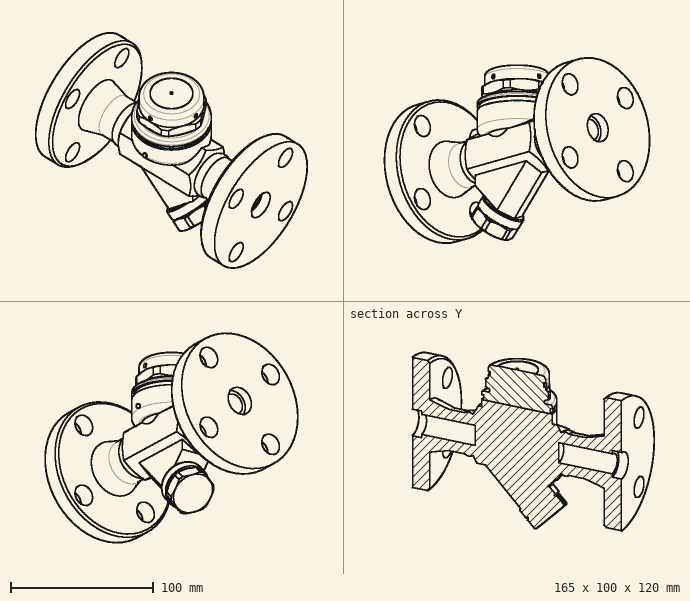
import cadquery as cq
import math

overall_length = 165.0

flange_diameter = 100.0
flange_thickness = 14.0
flange_chamfer = 1.8
bolt_hole_diameter = 15.0
bolt_circle_diameter = 75.0
bolt_count = 4
first_bolt_angle = 45.0
neck_root_diameter = 40.3
neck_length = 15.2
pipe_diameter = 32.0
bead_diameter = 34.0
bead_outer_x = 41.1
socket_diameter = 20.0
socket_depth = 7.5
bore_diameter = 15.0
bore_end_x = 33.0

block_across_flats = 36.6
block_half_length = 34.8
block_end_radius = 16.0
block_end_angle = 30.0

chamber_diameter = 56.0
chamber_top_z = 28.7
chamber_bottom_z = 10.7
chamber_bottom_fillet = 5.0
chamber_cone_radius = 20.8
chamber_tip_radius = 14.8
chamber_tip_z = 1.6

rib_width = 9.9
rib_top_z = 23.3
rib_fillet = 3.0

stud_diameter = 3.0
stud_z = 17.3
stud_length = 0.7
stud_embedment = 13.2

leg_angle = 45.0
leg_axis_offset = 17.7
leg_half_width = 12.0
leg_ridge = 15.0
leg_ridge_slope = 30.0
leg_upper_reach = 29.7
leg_start = -6.6
leg_end = 36.6
leg_wall_x = 30.0

plug_collar_diameter = 33.0
plug_collar_end = 44.2
plug_collar_chamfer = 0.8
plug_neck_diameter = 30.0
plug_across_flats = 30.0
plug_corner_diameter = 33.0
plug_hex_start = 44.9
plug_end = 54.5
hex_chamfer_angle = 30.0

spigot_diameter = 53.0
rim_diameter = 56.0
rim_bottom_z = 32.2
rim_top_z = 35.5
rim_fillet = 1.6
cover_neck_diameter = 43.2
cover_neck_end_diameter = 45.2
cover_hex_across_flats = 45.5
cover_hex_corner_diameter = 49.8
cover_hex_bottom_z = 37.8
cover_hex_top_z = 46.0
cap_diameter = 45.5
cap_top_z = 56.6
cap_fillet = 3.1
plate_diameter = 30.0
plate_thickness = 0.3
pip_diameter = 2.0
cap_hole_diameter = 3.0
cap_hole_depth = 1.6
cap_hole_z = 49.5
cap_hole_count = 4


def hexagon_corner_diameter(across_flats):
    return across_flats / math.cos(math.radians(30))


def arc_middle(center, radius, degrees):
    """Point on an arc, used as its middle point."""
    angle = math.radians(degrees)
    return center[0] + radius * math.cos(angle), center[1] + radius * math.sin(angle)


def place_on(plane, shape):
    """Move a shape modelled around the Z axis so that Z becomes the plane's normal."""
    return shape.val().located(cq.Location(plane))


def turned(profile):
    """Revolve a closed (radius, height) wire sketched on XZ around the Z axis."""
    return profile.close().revolve(360, (0, 0, 0), (0, 1, 0))


def chamfered_hexagon(across_flats, corner_diameter, bottom, top):
    """Nut shape around Z, flats facing +-Y, its corners turned down and chamfered."""
    flat_radius = across_flats / 2
    corner_radius = corner_diameter / 2
    drop = (corner_radius - flat_radius) * math.tan(math.radians(hex_chamfer_angle))
    prism = (
        cq.Workplane("XY", origin=(0, 0, bottom))
        .polygon(6, hexagon_corner_diameter(across_flats))
        .extrude(top - bottom)
    )
    envelope = turned(
        cq.Workplane("XZ")
        .moveTo(0, bottom)
        .lineTo(flat_radius, bottom)
        .lineTo(corner_radius, bottom + drop)
        .lineTo(corner_radius, top - drop)
        .lineTo(flat_radius, top)
        .lineTo(0, top)
    )
    return prism.intersect(envelope)


def pipe_end(direction):
    """Flange, neck, pipe and weld bead on the side of X given by direction (+1 or -1)."""
    flange_radius = flange_diameter / 2
    pipe_radius = pipe_diameter / 2
    face = overall_length / 2
    back = face - flange_thickness
    neck_end = back - neck_length
    bead_middle = (bead_outer_x + block_half_length) / 2
    solid = turned(
        cq.Workplane("XZ")
        .lineTo(pipe_radius, 0)
        .lineTo(pipe_radius, block_half_length)
        .threePointArc((bead_diameter / 2, bead_middle), (pipe_radius, bead_outer_x))
        .lineTo(pipe_radius, neck_end)
        .lineTo(neck_root_diameter / 2, back)
        .lineTo(flange_radius - flange_chamfer, back)
        .lineTo(flange_radius, back + flange_chamfer)
        .lineTo(flange_radius, face)
        .lineTo(0, face)
    )
    bolt_holes = (
        cq.Workplane("XY", origin=(0, 0, back))
        .polarArray(bolt_circle_diameter / 2, first_bolt_angle, 360, bolt_count)
        .circle(bolt_hole_diameter / 2)
        .extrude(flange_thickness)
    )
    plane = cq.Plane(origin=(0, 0, 0), xDir=(0, 1, 0), normal=(direction, 0, 0))
    return place_on(plane, solid.cut(bolt_holes))


def pipe_bore(direction):
    """Socket and blind bore of one pipe end."""
    face = overall_length / 2
    shoulder = face - socket_depth
    bore = turned(
        cq.Workplane("XZ")
        .moveTo(0, bore_end_x)
        .lineTo(bore_diameter / 2, bore_end_x)
        .lineTo(bore_diameter / 2, shoulder)
        .lineTo(socket_diameter / 2, shoulder)
        .lineTo(socket_diameter / 2, face)
        .lineTo(0, face)
    )
    plane = cq.Plane(origin=(0, 0, 0), xDir=(0, 1, 0), normal=(direction, 0, 0))
    return place_on(plane, bore)


def valve_block():
    """Hexagonal bar along X with a rib on its inlet end, both trimmed by the end cones."""
    bar = (
        cq.Workplane("YZ", origin=(-block_half_length, 0, 0))
        .transformed(rotate=(0, 0, 90))
        .polygon(6, hexagon_corner_diameter(block_across_flats))
        .extrude(2 * block_half_length)
    )
    trim_radius = chamber_diameter / 2
    cone_depth = (trim_radius - block_end_radius) * math.tan(math.radians(block_end_angle))
    envelope = (
        cq.Workplane("XY")
        .moveTo(-block_half_length, 0)
        .lineTo(-block_half_length, block_end_radius)
        .lineTo(-block_half_length + cone_depth, trim_radius)
        .lineTo(block_half_length - cone_depth, trim_radius)
        .lineTo(block_half_length, block_end_radius)
        .lineTo(block_half_length, 0)
        .close()
        .revolve(360, (0, 0, 0), (1, 0, 0))
    )
    return bar.union(chamber_rib()).intersect(envelope)


def chamber_rib():
    """Upright rib that flares into the chamber wall through two fillets."""
    chamber_radius = chamber_diameter / 2
    half_width = rib_width / 2
    center_y = half_width + rib_fillet
    center_x = -math.sqrt((chamber_radius + rib_fillet) ** 2 - center_y**2)
    toward_chamber = math.degrees(math.atan2(-center_y, -center_x))
    middle = arc_middle((center_x, center_y), rib_fillet, (toward_chamber - 90) / 2)
    tangent = arc_middle((center_x, center_y), rib_fillet, toward_chamber)
    return (
        cq.Workplane("XY")
        .moveTo(-block_half_length, -half_width)
        .lineTo(center_x, -half_width)
        .threePointArc((middle[0], -middle[1]), (tangent[0], -tangent[1]))
        .lineTo(0, -tangent[1])
        .lineTo(0, tangent[1])
        .lineTo(*tangent)
        .threePointArc(middle, (center_x, half_width))
        .lineTo(-block_half_length, half_width)
        .close()
        .extrude(rib_top_z)
    )


def chamber():
    """Round chamber with a rounded lower edge and a cone sinking into the block."""
    radius = chamber_diameter / 2
    fillet_center = (radius - chamber_bottom_fillet, chamber_bottom_z + chamber_bottom_fillet)
    return turned(
        cq.Workplane("XZ")
        .moveTo(0, chamber_tip_z)
        .lineTo(chamber_tip_radius, chamber_tip_z)
        .lineTo(chamber_cone_radius, chamber_bottom_z)
        .lineTo(fillet_center[0], chamber_bottom_z)
        .threePointArc(
            arc_middle(fillet_center, chamber_bottom_fillet, -45),
            (radius, fillet_center[1]),
        )
        .lineTo(radius, chamber_top_z)
        .lineTo(0, chamber_top_z)
    )


def chamber_stud():
    """Short round stud with a domed end on the front of the chamber."""
    radius = stud_diameter / 2
    dome_y = -chamber_diameter / 2 - stud_length
    shank = (
        cq.Workplane("XZ", origin=(0, dome_y, stud_z))
        .circle(radius)
        .extrude(-stud_embedment)
    )
    dome = cq.Workplane("XY", origin=(0, dome_y, stud_z)).sphere(radius)
    return shank.union(dome)


def leg_plane():
    """Frame on the leg axis: normal along the leg, local X towards its lower ridge."""
    angle = math.radians(leg_angle)
    along = cq.Vector(math.cos(angle), 0, -math.sin(angle))
    down = cq.Vector(-math.sin(angle), 0, -math.cos(angle))
    return cq.Plane(origin=(down * leg_axis_offset).toTuple(), xDir=down, normal=along)


def strainer_leg():
    """Flat-sided leg with a ridge below, cut off upright on the outlet side."""
    ridge_depth = leg_half_width * math.tan(math.radians(leg_ridge_slope))
    leg = (
        cq.Workplane(leg_plane())
        .workplane(offset=leg_start)
        .polyline(
            [
                (-leg_upper_reach, -leg_half_width),
                (leg_ridge - ridge_depth, -leg_half_width),
                (leg_ridge, 0),
                (leg_ridge - ridge_depth, leg_half_width),
                (-leg_upper_reach, leg_half_width),
            ]
        )
        .close()
        .extrude(leg_end - leg_start)
    )
    beyond_wall = cq.Workplane("XY").box(
        overall_length, overall_length, overall_length, centered=(False, True, True)
    )
    return leg.cut(beyond_wall.translate((leg_wall_x, 0, 0)))


def strainer_plug():
    """Round collar and hexagonal head on the end of the leg."""
    collar = (
        cq.Workplane("XY", origin=(0, 0, leg_end))
        .circle(plug_collar_diameter / 2)
        .extrude(plug_collar_end - leg_end)
        .faces("<Z")
        .chamfer(plug_collar_chamfer)
    )
    neck = (
        cq.Workplane("XY", origin=(0, 0, leg_end))
        .circle(plug_neck_diameter / 2)
        .extrude(plug_hex_start - leg_end)
    )
    head = chamfered_hexagon(plug_across_flats, plug_corner_diameter, plug_hex_start, plug_end)
    return place_on(leg_plane(), collar.union(neck).union(head))


def make_valve_body():
    body = valve_block().union(chamber()).union(chamber_stud())
    body = body.union(strainer_leg()).union(strainer_plug())
    for direction in (-1, 1):
        body = body.union(pipe_end(direction))
    for direction in (-1, 1):
        body = body.cut(pipe_bore(direction))
    return body


def cover_base():
    """Spigot, rim with a rounded upper edge, and the waisted neck below the hexagon."""
    rim_radius = rim_diameter / 2
    fillet_center = (rim_radius - rim_fillet, rim_top_z - rim_fillet)
    neck_end_radius = cover_neck_end_diameter / 2
    neck_middle_z = (rim_top_z + cover_hex_bottom_z) / 2
    return turned(
        cq.Workplane("XZ")
        .moveTo(0, chamber_top_z)
        .lineTo(spigot_diameter / 2, chamber_top_z)
        .lineTo(spigot_diameter / 2, rim_bottom_z)
        .lineTo(rim_radius, rim_bottom_z)
        .lineTo(rim_radius, fillet_center[1])
        .threePointArc(arc_middle(fillet_center, rim_fillet, 45), (fillet_center[0], rim_top_z))
        .lineTo(neck_end_radius, rim_top_z)
        .threePointArc((cover_neck_diameter / 2, neck_middle_z), (neck_end_radius, cover_hex_bottom_z))
        .lineTo(0, cover_hex_bottom_z)
    )


def cover_cap():
    """Round cap with a filleted edge, a raised plate and a centre pip."""
    cap = (
        cq.Workplane("XY", origin=(0, 0, cover_hex_top_z))
        .circle(cap_diameter / 2)
        .extrude(cap_top_z - cover_hex_top_z)
        .faces(">Z")
        .edges()
        .fillet(cap_fillet)
    )
    plate = (
        cq.Workplane("XY", origin=(0, 0, cap_top_z))
        .circle(plate_diameter / 2)
        .extrude(plate_thickness)
    )
    pip = cq.Workplane("XY", origin=(0, 0, cap_top_z + plate_thickness)).sphere(pip_diameter / 2)
    return cap.union(plate).union(pip)


def cap_holes():
    """Shallow radial holes around the cap."""
    floor = cap_diameter / 2 - cap_hole_depth
    hole = (
        cq.Workplane("YZ", origin=(floor, 0, cap_hole_z))
        .circle(cap_hole_diameter / 2)
        .extrude(2 * cap_hole_depth)
    )
    step = 360 / cap_hole_count
    return [hole.rotate((0, 0, 0), (0, 0, 1), step * index) for index in range(cap_hole_count)]


def make_cover():
    hexagon = chamfered_hexagon(
        cover_hex_across_flats, cover_hex_corner_diameter, cover_hex_bottom_z, cover_hex_top_z
    )
    cover = cover_base().union(hexagon).union(cover_cap())
    for hole in cap_holes():
        cover = cover.cut(hole)
    return cover


valve_body = make_valve_body()
cover = make_cover()

result = cq.Compound.makeCompound([valve_body.val(), cover.val()])